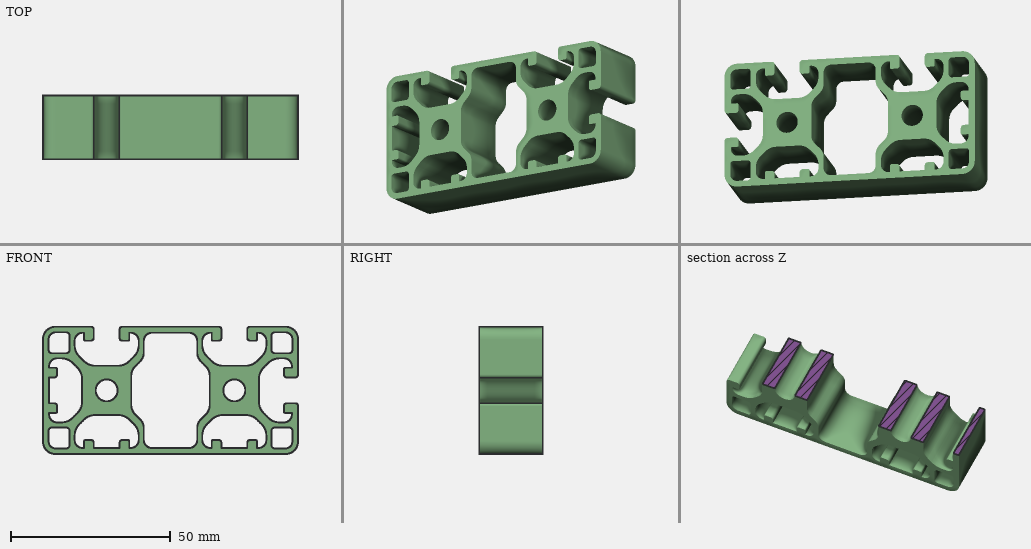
import cadquery as cq
import math

width = 80.0
depth = 20.0
height = 40.0
corner_radius = 4.0

cell_half = height / 2
cell_center = width / 4
bore_diameter = 6.8

face_wall = 2.0
thin_wall = 1.7
tube_wall = 1.8

core_half = 7.8
slot_half = 10.0
mouth_half = 4.0
lip_width = 3.1
lip_depth = 4.5
floor_corner = 5.7
slope_radius = 5.0
undercut_radius = 2.4
lip_mouth_radius = 1.0
lip_hook_radius = 0.5
lip_face_radius = 1.0
cut_clearance = 0.8

tube_radius = 1.0

chamber_slope_offset = 1.4
chamber_slope_radius = 4.0
chamber_end_radius = 2.4


def unit_vector(start, end):
    length = math.hypot(end[0] - start[0], end[1] - start[1])
    return (end[0] - start[0]) / length, (end[1] - start[1]) / length


def rounded_prism(corners):
    """Extrude a closed outline of (x, z, radius) corners through the full depth."""
    outline = cq.Workplane("XZ", origin=(0, depth / 2, 0))
    for index, (x, z, radius) in enumerate(corners):
        to_last = unit_vector((x, z), corners[index - 1])
        to_next = unit_vector((x, z), corners[(index + 1) % len(corners)])
        half_angle = math.acos(to_last[0] * to_next[0] + to_last[1] * to_next[1]) / 2
        tangent = radius / math.tan(half_angle)
        entry = (x + tangent * to_last[0], z + tangent * to_last[1])
        outline = outline.moveTo(*entry) if index == 0 else outline.lineTo(*entry)
        if radius > 0:
            bisector = unit_vector((0, 0), (to_last[0] + to_next[0], to_last[1] + to_next[1]))
            reach = radius / math.sin(half_angle) - radius
            middle = (x + reach * bisector[0], z + reach * bisector[1])
            leave = (x + tangent * to_next[0], z + tangent * to_next[1])
            outline = outline.threePointArc(middle, leave)
    return outline.close().extrude(depth)


def mirrored(half):
    """Complete a half outline with its mirror image across the Z axis."""
    return half + [(-x, z, radius) for x, z, radius in reversed(half)]


def slot(is_open):
    """T-slot above a cell center; a closed slot keeps the outer wall across its mouth."""
    ceiling = cell_half - face_wall
    lip_end = cell_half - lip_depth
    hook = mouth_half + lip_width
    side_corner = core_half + slot_half - floor_corner
    half = [
        (floor_corner, core_half, slope_radius),
        (slot_half, side_corner, slope_radius),
        (slot_half, ceiling, undercut_radius),
        (hook, ceiling, 0),
        (hook, lip_end, lip_hook_radius),
        (mouth_half, lip_end, lip_mouth_radius),
    ]
    if is_open:
        half += [
            (mouth_half, cell_half, lip_face_radius),
            (hook, cell_half, 0),
            (hook, cell_half + cut_clearance, 0),
        ]
    else:
        half.append((mouth_half, ceiling, 0))
    return rounded_prism(mirrored(half))


def corner_tube():
    """Square tube in the upper right corner of the profile."""
    right = width / 2 - tube_wall
    top = height / 2 - tube_wall
    size = slot_half - thin_wall - tube_wall
    return rounded_prism([
        (right, top, corner_radius - tube_wall),
        (right - size, top, tube_radius),
        (right - size, top - size, tube_radius),
        (right, top - size, tube_radius),
    ])


def center_chamber():
    """Waisted chamber between the cells, widest beside the two cores."""
    core_x = cell_center - core_half
    side_x = cell_center - slot_half - thin_wall
    end_z = cell_half - face_wall
    core_z = core_half - chamber_slope_offset
    side_z = core_z + core_x - side_x
    right_top = [
        (core_x, core_z, chamber_slope_radius),
        (side_x, side_z, chamber_slope_radius),
        (side_x, end_z, chamber_end_radius),
    ]
    right_bottom = [(x, -z, radius) for x, z, radius in reversed(right_top)]
    return rounded_prism(mirrored(right_bottom + right_top))


result = cq.Workplane("XY").box(width, depth, height).edges("|Y").fillet(corner_radius)

open_slot = slot(True)
closed_slot = slot(False)
for x in (-cell_center, cell_center):
    result = result.cut(open_slot.translate((x, 0, 0)))
    result = result.cut(closed_slot.mirror("XY").translate((x, 0, 0)))
    bore = cq.Workplane("XZ", origin=(x, depth / 2, 0)).circle(bore_diameter / 2).extrude(depth)
    result = result.cut(bore)

quarter_turn = 90
axis_start = (0, 0, 0)
axis_end = (0, 1, 0)
right_slot = open_slot.rotate(axis_start, axis_end, quarter_turn)
left_slot = closed_slot.rotate(axis_start, axis_end, -quarter_turn)
result = result.cut(right_slot.translate((cell_center, 0, 0)))
result = result.cut(left_slot.translate((-cell_center, 0, 0)))

upper_right_tube = corner_tube()
upper_left_tube = upper_right_tube.mirror("YZ")
for tube in (upper_right_tube, upper_left_tube):
    result = result.cut(tube).cut(tube.mirror("XY"))

result = result.cut(center_chamber())